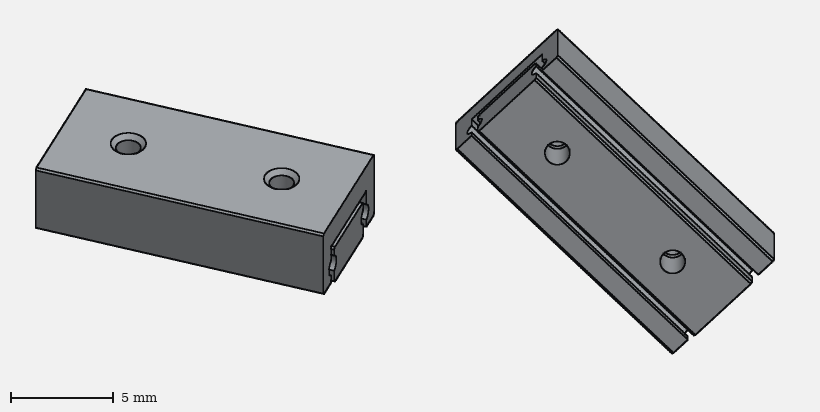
import cadquery as cq

length = 15.0
carriage_width = 7.0
total_height = 4.0
edge_chamfer = 0.1

carriage_bottom = 0.3
carriage_height = total_height - carriage_bottom
roof_thickness = 1.5
channel_width = 4.83
channel_height = carriage_height - roof_thickness

rail_width = 4.0
rail_height = 2.13

track_diameter = 1.0
track_height = 1.2
track_offset = (channel_width + rail_width) / 4

hole_diameter = 1.22
countersink_diameter = 1.72
countersink_angle = 90.0
hole_spacing = 8.0
hole_points = [(-hole_spacing / 2, 0), (hole_spacing / 2, 0)]


def make_bar(width, height, bottom):
    """Full-length bar, centred on X and Y, with its bottom face at the given Z."""
    return (
        cq.Workplane("XY")
        .workplane(offset=bottom)
        .box(length, width, height, centered=(True, True, False))
    )


def make_ball_tracks():
    """Two full-length cylinders that cut the ball tracks."""
    return (
        cq.Workplane("YZ")
        .pushPoints([(-track_offset, track_height), (track_offset, track_height)])
        .circle(track_diameter / 2)
        .extrude(length / 2, both=True)
    )


def make_carriage():
    """Inverted channel with ball tracks and countersunk mounting holes."""
    block = make_bar(carriage_width, carriage_height, carriage_bottom).edges("|X").chamfer(edge_chamfer)
    channel = make_bar(channel_width, channel_height, carriage_bottom)
    return (
        block.cut(channel)
        .cut(make_ball_tracks())
        .faces(">Z")
        .workplane(origin=(0, 0, total_height))
        .pushPoints(hole_points)
        .cskHole(hole_diameter, countersink_diameter, countersink_angle)
    )


def make_rail():
    """Chamfered bar with ball tracks and plain holes in line with those of the carriage."""
    bar = make_bar(rail_width, rail_height, 0).edges("|X").chamfer(edge_chamfer)
    return (
        bar.cut(make_ball_tracks())
        .faces(">Z")
        .workplane(origin=(0, 0, rail_height))
        .pushPoints(hole_points)
        .hole(hole_diameter)
    )


carriage = make_carriage()
rail = make_rail()

result = cq.Compound.makeCompound([carriage.solids().val(), rail.solids().val()])